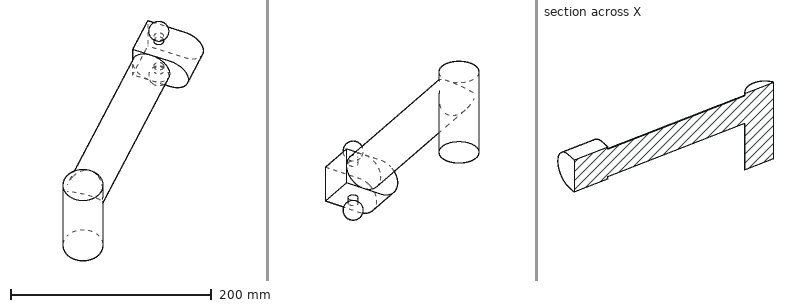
import cadquery as cq

length = 240.0
height = 120.0
bar_diameter = length / 6

bar_radius = bar_diameter / 2
ball_radius = bar_diameter / 4
pin_radius = ball_radius / 2
ball_offset = 1.5 * ball_radius
post_height = height - ball_offset - ball_radius

head_y = length - bar_diameter


def make_post():
    """Vertical post, flush with the top of the arm."""
    return (
        cq.Workplane("XY")
        .workplane(offset=bar_radius - post_height)
        .circle(bar_radius)
        .extrude(post_height)
        .rotate((0, 0, 0), (0, 0, 1), -90)
    )


def make_arm():
    """Horizontal round arm from the post axis to the head."""
    return cq.Workplane("XZ").circle(bar_radius).extrude(-head_y)


def make_head():
    """Cube with a half-round lobe on its +X side."""
    cube = cq.Workplane("XY").box(bar_diameter, bar_diameter, bar_diameter)
    lobe = (
        cq.Workplane("XZ")
        .center(bar_radius, 0)
        .circle(bar_radius)
        .extrude(bar_radius, both=True)
    )
    return cube.union(lobe).translate((0, head_y, 0))


def make_ball_stud(side):
    """Pin and ball above (side = 1) or below (side = -1) the head."""
    ball_z = side * (bar_radius + ball_offset)
    pin = cq.Workplane("XY").circle(pin_radius).extrude(ball_z)
    ball = cq.Workplane("XY").sphere(ball_radius).translate((0, 0, ball_z))
    return pin.union(ball).translate((0, head_y, 0))


result = make_post().union(make_arm()).union(make_head())
for side in (1, -1):
    result = result.union(make_ball_stud(side))